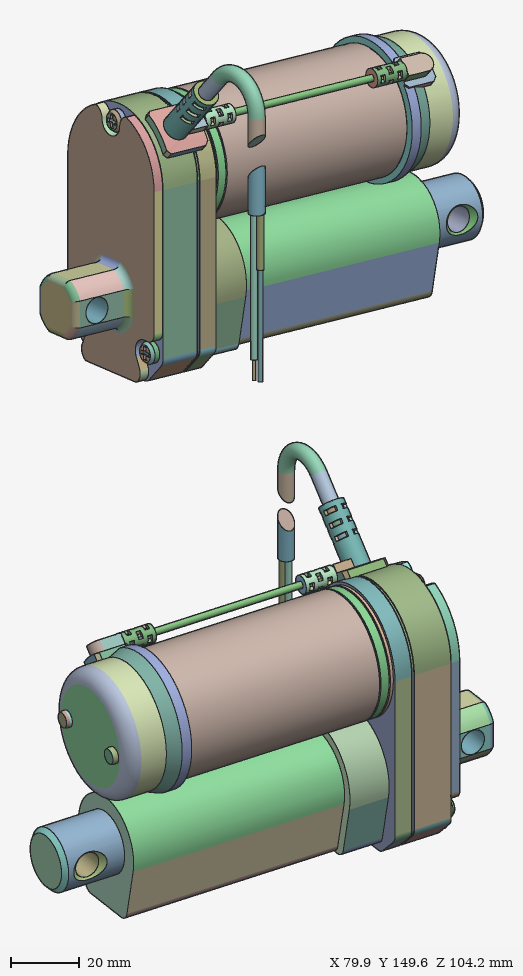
import cadquery as cq
import math


motor_z = 37.0

box_half_width = 21.0
box_bottom = -24.04
box_chamfer = 7.6
box_corner_radius = 3.4
box_back = 22.5
cover_thickness = 3.1
cover_inset = 0.2
seam_y = 15.8
seam_width = 0.8
seam_depth = 0.3

screw_places = [(0.0, 53.0), (-16.0, -14.0), (16.0, -14.0)]
screw_radius = 3.4
screw_top_radius = 2.6
screw_top_y = 0.3
screw_rim_y = 1.4
screw_cross_length = 4.0
screw_cross_width = 1.2
screw_cross_depth = 0.8
scallop_radius = 4.25
top_mouth_half = 8.2
top_mouth_rise = 3.5
top_flare_half = 5.2
top_flare_rise = 2.2
corner_round = 2.9
corner_wall_inset = 4.0
corner_bulge_drop = 7.7
corner_mouth_inset = 2.0
corner_mouth_drop = 5.6
corner_wall_angle = math.radians(20)

lug_diameter = 20.0
lug_flats = 18.2
lug_end = -20.0
lug_fillet = 2.0
lug_hole_y = -12.0
root_band = 0.1
eye_diameter = 8.0

motor_radius = 20.1
groove_radius = 19.5
groove_width = 0.5
groove_places = [23.5, 26.75]
cap_start = 93.3
cap_ring_radius = 22.0
cap_ring_end = 96.6
cap_cone_end = 101.0
cap_radius = 20.35
cap_end = 114.1
cap_round = 4.6
cap_screw_x = 12.5
cap_screw_diameter = 5.25
cap_screw_rim = 0.8
cap_screw_height = 1.8
cap_screw_bevel = 0.3

tube_radius = 14.9
tube_end = 108.8
sleeve_radius = 17.8
sleeve_end = 36.0
tube_base = -21.4
tube_taper = math.radians(12)
tube_base_fillet = 3.1

rod_diameter = 20.0
rod_start = box_back
rod_end = 129.6
rod_chamfer = 1.5
rod_hole_y = 120.6
rod_countersink_diameter = 11.5

plug_lean = 45.0
plug_y = 11.2
plug_plate_half_width = 7.3
plug_plate_y = (5.0, 20.0)
plug_plate_radius = 23.4
cap_plate_half_width = 5.0
cap_plate_y = (cap_start, 104.6)
cap_plate_radius = 22.6
plate_corner = 1.2
plate_root = 17.0
elbow_half_width = 3.0
elbow_top = 26.0
cap_elbow_y = 100.5
main_grip_radius = 4.0
main_grip_end = 43.9
main_notches = [33.2, 37.3, 41.4]
small_grip_radius = 2.9
small_grip_height = 23.7
small_grip_length = 10.8
small_notch_steps = [2.5, 5.6, 8.7]
small_notch_turn = 45
notch_width = 1.5
notch_depth = 1.0
rib_width = 2.0
link_diameter = 2.2

cable_radius = 2.5
cable_bend_start = 53.2
cable_bend_radius = 10.4
stub_cut_z = 60.0
tail_cut_z = 50.5
tail_end = 37.8
wire_core_end = -13.7
wires = [(1.1, 0.5, 1.1, 20.7, 0.75), (-0.85, -0.3, 1.0, -7.3, 0.5)]


def section(y):
    """Workplane across the actuator at y, with X to the right and Z up."""
    return cq.Workplane("XZ", origin=(0, y, 0))


def disc(radius, y_start, y_end, x=0.0, z=0.0):
    """Cylinder parallel to Y."""
    return section(y_start).center(x, z).circle(radius).extrude(y_start - y_end)


def block(x_range, y_range, z_range):
    """Box given by its limits on each axis."""
    size = [high - low for low, high in (x_range, y_range, z_range)]
    corner = (x_range[0], y_range[0], z_range[0])
    return cq.Workplane("XY").add(cq.Solid.makeBox(*size, cq.Vector(*corner)))


def gearbox_slab(inset, y_start, y_end):
    """Slab with an arched top and two bevelled, rounded bottom corners."""
    half = box_half_width
    slab = (
        section(y_start)
        .moveTo(half, motor_z)
        .threePointArc((0, motor_z + half), (-half, motor_z))
        .lineTo(-half, box_bottom + box_chamfer)
        .lineTo(-half + box_chamfer, box_bottom)
        .lineTo(half - box_chamfer, box_bottom)
        .lineTo(half, box_bottom + box_chamfer)
        .close()
        .offset2D(-inset)
        .extrude(y_start - y_end)
    )
    corners = slab.edges("|Y").edges(cq.selectors.BoxSelector(
        (-2 * half, y_start - 1, box_bottom - 1), (2 * half, y_end + 1, 0)))
    return slab.newObject(corners.vals()).fillet(box_corner_radius)


def top_scallop():
    """Opening in the cover around the top screw, flaring out to the arched edge."""
    z = screw_places[0][1]
    top = motor_z + box_half_width + 1
    mouth_z = z + top_mouth_rise
    flare_middle_z = z + top_flare_rise
    flare = (
        section(0)
        .moveTo(-scallop_radius, z)
        .threePointArc((-top_flare_half, flare_middle_z), (-top_mouth_half, mouth_z))
        .lineTo(-top_mouth_half, top)
        .lineTo(top_mouth_half, top)
        .lineTo(top_mouth_half, mouth_z)
        .threePointArc((top_flare_half, flare_middle_z), (scallop_radius, z))
        .close()
        .extrude(-cover_thickness)
    )
    return flare.union(disc(scallop_radius, 0, cover_thickness, 0, z))


def corner_scallop():
    """Opening in the cover around the right bottom screw, rounded off towards both edges."""
    x, z = screw_places[2]
    right = box_half_width + 1
    bottom = box_bottom - 1
    wall_z = z + scallop_radius
    side_x = box_half_width - cover_inset
    lower_start_x = x - corner_wall_inset
    base_z = box_bottom + cover_inset
    diagonal = math.sqrt(0.5)
    upper_middle = (side_x - corner_round * (1 - diagonal), wall_z + corner_round * (1 - diagonal))
    flare = (
        section(0)
        .moveTo(x, wall_z)
        .lineTo(side_x - corner_round, wall_z)
        .threePointArc(upper_middle, (side_x, wall_z + corner_round))
        .lineTo(right, wall_z + corner_round)
        .lineTo(right, bottom)
        .lineTo(lower_start_x, bottom)
        .lineTo(lower_start_x, base_z)
        .threePointArc((x - corner_round * diagonal, z - corner_bulge_drop),
                       (x - corner_mouth_inset, z - corner_mouth_drop))
        .lineTo(x - scallop_radius * math.cos(corner_wall_angle),
                z - scallop_radius * math.sin(corner_wall_angle))
        .close()
        .extrude(-cover_thickness)
    )
    return flare.union(disc(scallop_radius, 0, cover_thickness, x, z))


def cover_screw(x, z):
    """Screw head with a bevelled rim and a cross recess."""
    head = disc(screw_radius, screw_rim_y, cover_thickness, x, z)
    bevel = (
        section(screw_rim_y).center(x, z).circle(screw_radius)
        .workplane(offset=screw_rim_y - screw_top_y).circle(screw_top_radius).loft()
    )
    head = head.union(bevel)
    for length, width in [(screw_cross_length, screw_cross_width),
                          (screw_cross_width, screw_cross_length)]:
        slot = section(screw_top_y).center(x, z).rect(length, width).extrude(-screw_cross_depth)
        head = head.cut(slot)
    return head


def make_gearbox():
    gearbox = gearbox_slab(0, cover_thickness, seam_y)
    gearbox = gearbox.union(gearbox_slab(seam_depth, seam_y, seam_y + seam_width))
    gearbox = gearbox.union(gearbox_slab(0, seam_y + seam_width, box_back))
    right_scallop = corner_scallop()
    cover = gearbox_slab(cover_inset, 0, cover_thickness).cut(top_scallop())
    cover = cover.cut(right_scallop).cut(right_scallop.mirror("YZ"))
    gearbox = gearbox.union(cover)
    for x, z in screw_places:
        gearbox = gearbox.union(cover_screw(x, z))
    return gearbox


def make_lug():
    bar = disc(lug_diameter / 2, lug_end, 0)
    half = lug_flats / 2
    bar = bar.intersect(block((-half, half), (lug_end, 0), (-half, half)))
    bar = bar.faces("<Y").edges().fillet(lug_fillet)
    hole = cq.Workplane("YZ").center(lug_hole_y, 0).circle(eye_diameter / 2)
    return bar.cut(hole.extrude(lug_diameter, both=True))


def make_motor():
    """Motor can with its flared end cap, turned about the motor axis."""
    round_middle = cap_round * math.sqrt(0.5)
    motor = (
        cq.Workplane("XY")
        .moveTo(0, seam_y)
        .lineTo(motor_radius, seam_y)
        .lineTo(motor_radius, cap_start - groove_width)
        .lineTo(groove_radius, cap_start - groove_width)
        .lineTo(groove_radius, cap_start)
        .lineTo(cap_ring_radius, cap_start)
        .lineTo(cap_ring_radius, cap_ring_end)
        .lineTo(cap_radius, cap_cone_end)
        .lineTo(cap_radius, cap_end - cap_round)
        .threePointArc((cap_radius - cap_round + round_middle, cap_end - cap_round + round_middle),
                       (cap_radius - cap_round, cap_end))
        .lineTo(0, cap_end)
        .close()
        .revolve(360, (0, 0, 0), (0, 1, 0))
        .translate((0, 0, motor_z))
    )
    for y in groove_places:
        ring = disc(motor_radius + 1, y, y + groove_width, 0, motor_z)
        motor = motor.cut(ring.cut(disc(groove_radius, y, y + groove_width, 0, motor_z)))
    for x in (-cap_screw_x, cap_screw_x):
        radius = cap_screw_diameter / 2
        head = disc(radius, cap_end, cap_end + cap_screw_height, x, motor_z)
        motor = motor.union(head.faces(">Y").chamfer(cap_screw_height - cap_screw_rim, cap_screw_bevel))
    return motor


def tube_length(radius, y_end):
    """Tube with a round top and tapered sides down to a flat base."""
    side_x = radius * math.cos(tube_taper)
    side_z = -radius * math.sin(tube_taper)
    base_x = (radius + tube_base * math.sin(tube_taper)) / math.cos(tube_taper)
    return (
        section(box_back)
        .moveTo(side_x, side_z)
        .threePointArc((0, radius), (-side_x, side_z))
        .lineTo(-base_x, tube_base)
        .lineTo(base_x, tube_base)
        .close()
        .extrude(box_back - y_end)
        .faces("<Z").edges("|Y").fillet(tube_base_fillet)
    )


def make_tube():
    bore = disc(rod_diameter / 2, rod_start, tube_end)
    return tube_length(tube_radius, tube_end).union(tube_length(sleeve_radius, sleeve_end)).cut(bore)


def plug_plate(half_width, y_range, top_radius):
    """Plate with bevelled corners and a top that is concentric with the motor."""
    plate = block((-half_width, half_width), y_range, (plate_root, top_radius))
    plate = plate.edges("|Z").chamfer(plate_corner)
    return plate.intersect(disc(top_radius, *y_range))


def cut_notches(grip, axis_plane, radius, rib_angle):
    """Cut a ring groove that is interrupted by two crossing pairs of ribs."""
    ring = axis_plane.circle(radius + 1).circle(radius - notch_depth).extrude(notch_width / 2, both=True)
    for angle in (rib_angle, rib_angle + 90):
        rib = axis_plane.transformed(rotate=(0, 0, angle)).rect(4 * radius, rib_width)
        ring = ring.cut(rib.extrude(notch_width, both=True))
    return grip.cut(ring)


def small_grip(y_start, direction):
    """Strain relief of the motor link, pointing along +Y or -Y."""
    grip = disc(small_grip_radius, y_start, y_start + direction * small_grip_length, 0, small_grip_height)
    for number, step in enumerate(small_notch_steps):
        plane = section(y_start + direction * step).center(0, small_grip_height)
        grip = cut_notches(grip, plane, small_grip_radius, small_notch_turn * (number % 2))
    return grip


def main_grip():
    """Strain relief of the supply cable."""
    base = cq.Workplane("XY", origin=(0, plug_y, plate_root))
    grip = base.circle(main_grip_radius).extrude(main_grip_end - plate_root)
    for height in main_notches:
        plane = cq.Workplane("XY", origin=(0, plug_y, height))
        grip = cut_notches(grip, plane, main_grip_radius, 0)
    return grip


def make_plugs():
    gearbox_plug_back = plug_plate_y[1]
    elbow_sides = (-elbow_half_width, elbow_half_width)
    elbow_heights = (plate_root, elbow_top)
    round_end = cq.Workplane("XY", origin=(0, cap_elbow_y, plate_root)).circle(elbow_half_width)
    link = disc(link_diameter / 2, gearbox_plug_back, cap_start, 0, small_grip_height)
    parts = [
        plug_plate(plug_plate_half_width, plug_plate_y, plug_plate_radius),
        block(elbow_sides, (plug_y, gearbox_plug_back), elbow_heights),
        main_grip(),
        small_grip(gearbox_plug_back, 1),
        link,
        small_grip(cap_start, -1),
        block(elbow_sides, (cap_start, cap_elbow_y), elbow_heights),
        round_end.extrude(elbow_top - plate_root),
        plug_plate(cap_plate_half_width, cap_plate_y, cap_plate_radius),
    ]
    plugs = parts[0]
    for part in parts[1:]:
        plugs = plugs.union(part)
    return plugs.rotate((0, 0, 0), (0, 1, 0), plug_lean).translate((0, 0, motor_z))


lean = math.sin(math.radians(plug_lean))
bend_start_x = cable_bend_start * lean
bend_start_z = motor_z + cable_bend_start * lean
bend_x = bend_start_x + cable_bend_radius * lean
bend_z = bend_start_z - cable_bend_radius * lean
cable_x = bend_x + cable_bend_radius


def slanted_cutter(z, side):
    """Wedge below (side = 1) or above (side = -1) a 45 degree plane across the cable."""
    reach = 4 * cable_radius
    return (
        section(plug_y)
        .moveTo(cable_x - reach, z - reach)
        .lineTo(cable_x + reach, z + reach)
        .lineTo(cable_x + side * reach, z - side * reach)
        .close()
        .extrude(reach, both=True)
    )


def make_supply_cable():
    """Cable that leaves the grip, bends over and ends in a slanted cut."""
    root = (main_grip_end - 1) * lean
    bend_middle = math.radians((180 - plug_lean) / 2)
    path = (
        section(plug_y)
        .moveTo(root, motor_z + root)
        .lineTo(bend_start_x, bend_start_z)
        .threePointArc((bend_x + cable_bend_radius * math.cos(bend_middle),
                        bend_z + cable_bend_radius * math.sin(bend_middle)),
                       (cable_x, bend_z))
        .lineTo(cable_x, stub_cut_z - 2 * cable_radius)
    )
    start = cq.Plane(origin=(root, plug_y, motor_z + root), xDir=(0, 1, 0), normal=(1, 0, 1))
    cable = cq.Workplane(start).circle(cable_radius).sweep(path)
    return cable.cut(slanted_cutter(stub_cut_z, 1))


def make_cable_tail():
    """Loose cable end: slanted sheath with two stripped wires."""
    sheath = cq.Workplane("XY", origin=(cable_x, plug_y, tail_end)).circle(cable_radius)
    tail = sheath.extrude(tail_cut_z + 2 * cable_radius - tail_end)
    tail = tail.cut(slanted_cutter(tail_cut_z, -1))
    for x, y, insulation_radius, insulation_end, core_radius in wires:
        wire = cq.Workplane("XY", origin=(cable_x + x, plug_y + y, tail_end))
        tail = tail.union(wire.circle(insulation_radius).extrude(insulation_end - tail_end))
        tail = tail.union(wire.circle(core_radius).extrude(wire_core_end - tail_end))
    return tail


def make_piston_rod():
    """Round rod with a countersunk cross hole at its free end."""
    radius = rod_diameter / 2
    rod = disc(radius, rod_start, rod_end).faces(">Y").chamfer(rod_chamfer)
    hole = cq.Workplane("YZ").center(rod_hole_y, 0).circle(eye_diameter / 2)
    rod = rod.cut(hole.extrude(rod_diameter, both=True))
    sink_radius = rod_countersink_diameter / 2
    for side in (-1, 1):
        cone = cq.Solid.makeCone(sink_radius, 0, sink_radius, cq.Vector(side * radius, rod_hole_y, 0),
                                 cq.Vector(-side, 0, 0))
        rod = rod.cut(cq.Workplane(cone))
    return rod


actuator = make_gearbox().union(make_motor()).union(make_tube()).union(make_lug())
lug_reach = lug_diameter / 2 + 1
lug_root = actuator.edges(cq.selectors.BoxSelector(
    (-lug_reach, -root_band, -lug_reach), (lug_reach, root_band, lug_reach)))
actuator = actuator.newObject(lug_root.vals()).fillet(lug_fillet)
actuator = actuator.union(make_plugs()).union(make_supply_cable())
piston_rod = make_piston_rod()
cable_tail = make_cable_tail()

result = cq.Compound.makeCompound([actuator.val(), piston_rod.val(), cable_tail.val()])